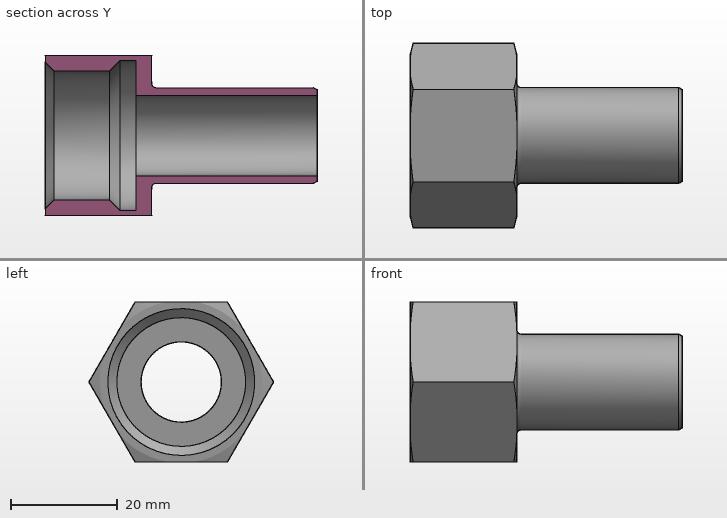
import cadquery as cq
import math

total_length = 51.0
nut_length = 20.0

across_flats = 30.0
across_corners = across_flats / math.cos(math.radians(30))
end_face_diameter = 30.4
corner_chamfer_angle = 15.0
corner_clearance = 1.0

mouth_diameter = 27.5
bore_diameter = 24.12
relief_diameter = 28.0
relief_length = 3.0
bore_depth = 17.0

tube_diameter = 18.0
tube_bore_diameter = 15.0
root_fillet = 0.8
tip_chamfer_length = 0.7
tip_chamfer_height = 0.4


def revolve_about_x(outline):
    """Revolve a closed outline, drawn as (x, radius), about the X axis."""
    return outline.close().revolve(360, (0, 0, 0), (1, 0, 0))


def make_nut():
    """Hexagonal body with its corners turned to a cone at both ends."""
    hexagon = cq.Workplane("YZ").polygon(6, across_corners).extrude(nut_length)
    end_radius = end_face_diameter / 2
    outer_radius = across_corners / 2 + corner_clearance
    cone_length = (outer_radius - end_radius) * math.tan(math.radians(corner_chamfer_angle))
    envelope_outline = cq.Workplane("XY").polyline([
        (0, 0),
        (0, end_radius),
        (cone_length, outer_radius),
        (nut_length - cone_length, outer_radius),
        (nut_length, end_radius),
        (nut_length, 0),
    ])
    return hexagon.intersect(revolve_about_x(envelope_outline))


def make_tube():
    """Tube stub with a concave fillet at the nut and a chamfered tip."""
    radius = tube_diameter / 2
    arc_mid_offset = root_fillet * (1 - math.cos(math.radians(45)))
    outline = (
        cq.Workplane("XY")
        .moveTo(bore_depth, 0)
        .lineTo(bore_depth, radius + root_fillet)
        .lineTo(nut_length, radius + root_fillet)
        .threePointArc(
            (nut_length + arc_mid_offset, radius + arc_mid_offset),
            (nut_length + root_fillet, radius),
        )
        .lineTo(total_length - tip_chamfer_length, radius)
        .lineTo(total_length, radius - tip_chamfer_height)
        .lineTo(total_length, 0)
    )
    return revolve_about_x(outline)


def make_bore():
    """Conical mouth, nut bore, wider relief at the floor, and tube bore."""
    mouth_radius = mouth_diameter / 2
    bore_radius = bore_diameter / 2
    relief_radius = relief_diameter / 2
    tube_bore_radius = tube_bore_diameter / 2
    relief_start = bore_depth - relief_length
    outline = cq.Workplane("XY").polyline([
        (0, 0),
        (0, mouth_radius),
        (mouth_radius - bore_radius, bore_radius),
        (relief_start - (relief_radius - bore_radius), bore_radius),
        (relief_start, relief_radius),
        (bore_depth, relief_radius),
        (bore_depth, tube_bore_radius),
        (total_length, tube_bore_radius),
        (total_length, 0),
    ])
    return revolve_about_x(outline)


result = make_nut().union(make_tube()).cut(make_bore())